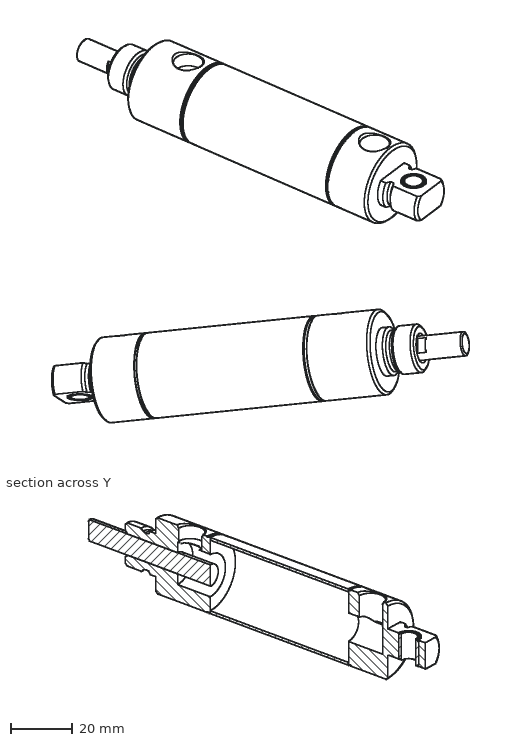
import cadquery as cq
import math


FLAT_START = 12.7
NOSE_START = 15.6
FRONT_HEAD_START = 28.5
FRONT_JOINT = 51.7
REAR_JOINT = 110.3
REAR_HEAD_END = 127.0
TANG_END = 142.9

BODY_DIAMETER = 28.1
BODY_RADIUS = BODY_DIAMETER / 2
TUBE_BORE_RADIUS = 12.9
HEAD_CHAMFER = 0.9
JOINT_GROOVE_DEPTH = 0.5
FRONT_GROOVE_START = 50.5
FRONT_GROOVE_END = 51.3
REAR_GROOVE_LENGTH = 0.9

ROD_RADIUS = 4.0
ROD_TIP_LENGTH = 0.5
ROD_TIP_RADIUS = 3.3
ROD_ACROSS_FLATS = 6.3

NOSE_RADIUS = 8.0
RELIEF_RADIUS = 6.9
NOSE_CHAMFER = 0.9
NOSE_RELIEF_START = 22.5
NOSE_RELIEF_SLOPE_END = 23.3
NOSE_RELIEF_SLOPE_END_RADIUS = 7.1
NOSE_RELIEF_FLOOR_START = 24.1
NOSE_RELIEF_FLOOR_END = 25.5
NOSE_RELIEF_END = 26.1
COUNTERSINK_RADIUS = 4.9

FRONT_PORT_X = 43.1
REAR_PORT_X = 119.7
PORT_RADIUS = 4.9
PORT_MOUTH_RADIUS = 5.5
PORT_MOUTH_DEPTH = 1.0
DRILL_HALF_ANGLE = math.radians(59)
FRONT_PORT_TIP_Z = 5.5

FRONT_CHAMBER_START = 37.9
FRONT_CHAMBER_RADIUS = 7.7
REAR_CHAMBER_END = REAR_PORT_X + PORT_RADIUS
REAR_CHAMBER_RADIUS = 5.1

TANG_THICKNESS = 9.7
TANG_END_CHAMFER = 0.9
TANG_RELIEF_START = 129.2
TANG_RELIEF_FLOOR_START = 130.0
TANG_RELIEF_FLOOR_END = 131.3
TANG_RELIEF_END = 132.2
EYE_X = 135.7
BUSHING_RADIUS = 4.1
BUSHING_BORE_RADIUS = 3.0
BUSHING_CHAMFER = 0.6


def revolved(outline):
    """Solid of revolution about X from an outline of (x, radius) points."""
    return cq.Workplane("XZ").polyline(outline).close().revolve(360, (0, 0, 0), (1, 0, 0))


def round_bar(start, end, radius):
    """Plain cylinder along X."""
    return cq.Workplane("YZ", origin=(start, 0, 0)).circle(radius).extrude(end - start)


def port_cutter(tip_z):
    """Round port from above with a countersunk mouth and a drill-point bottom, its tip at tip_z."""
    shoulder_z = tip_z + PORT_RADIUS / math.tan(DRILL_HALF_ANGLE)
    outline = [
        (0, tip_z),
        (PORT_RADIUS, shoulder_z),
        (PORT_RADIUS, BODY_RADIUS - PORT_MOUTH_DEPTH),
        (PORT_MOUTH_RADIUS, BODY_RADIUS),
        (0, BODY_RADIUS),
    ]
    return cq.Workplane("XZ").polyline(outline).close().revolve(360, (0, 0, 0), (0, 1, 0))


def make_rod():
    rod = revolved([
        (0, 0),
        (0, ROD_TIP_RADIUS),
        (ROD_TIP_LENGTH, ROD_RADIUS),
        (FRONT_JOINT, ROD_RADIUS),
        (FRONT_JOINT, 0),
    ])
    flat_length = NOSE_START - FLAT_START
    for side in (1, -1):
        flat = cq.Workplane("XY").box(flat_length, ROD_RADIUS, 2 * ROD_RADIUS)
        flat_y = side * (ROD_ACROSS_FLATS + ROD_RADIUS) / 2
        rod = rod.cut(flat.translate((FLAT_START + flat_length / 2, flat_y, 0)))
    return rod


def make_front_head():
    head = revolved([
        (NOSE_START, 0),
        (NOSE_START, NOSE_RADIUS - NOSE_CHAMFER),
        (NOSE_START + NOSE_CHAMFER, NOSE_RADIUS),
        (NOSE_RELIEF_START, NOSE_RADIUS),
        (NOSE_RELIEF_SLOPE_END, NOSE_RELIEF_SLOPE_END_RADIUS),
        (NOSE_RELIEF_FLOOR_START, RELIEF_RADIUS),
        (NOSE_RELIEF_FLOOR_END, RELIEF_RADIUS),
        (NOSE_RELIEF_END, NOSE_RADIUS),
        (FRONT_HEAD_START, NOSE_RADIUS),
        (FRONT_HEAD_START, BODY_RADIUS - HEAD_CHAMFER),
        (FRONT_HEAD_START + HEAD_CHAMFER, BODY_RADIUS),
        (FRONT_GROOVE_START, BODY_RADIUS),
        (FRONT_GROOVE_START, BODY_RADIUS - JOINT_GROOVE_DEPTH),
        (FRONT_GROOVE_END, BODY_RADIUS),
        (FRONT_JOINT, BODY_RADIUS),
        (FRONT_JOINT, 0),
    ])
    rod_bore = revolved([
        (NOSE_START, 0),
        (NOSE_START, COUNTERSINK_RADIUS),
        (NOSE_START + COUNTERSINK_RADIUS - ROD_RADIUS, ROD_RADIUS),
        (FRONT_JOINT, ROD_RADIUS),
        (FRONT_JOINT, 0),
    ])
    chamber = round_bar(FRONT_CHAMBER_START, FRONT_JOINT, FRONT_CHAMBER_RADIUS)
    port = port_cutter(FRONT_PORT_TIP_Z).translate((FRONT_PORT_X, 0, 0))
    return head.cut(rod_bore).cut(chamber).cut(port)


def make_tube():
    return revolved([
        (FRONT_JOINT, TUBE_BORE_RADIUS),
        (FRONT_JOINT, BODY_RADIUS),
        (REAR_JOINT, BODY_RADIUS),
        (REAR_JOINT, TUBE_BORE_RADIUS),
    ])


def eye_cylinder(radius):
    """Vertical cylinder on the eye axis, as tall as the tang is thick."""
    base_z = -TANG_THICKNESS / 2
    return cq.Workplane("XY", origin=(EYE_X, 0, base_z)).circle(radius).extrude(TANG_THICKNESS)


def make_tang():
    """Round stub with a relief groove, chamfered at its end and milled flat above and below."""
    stub = revolved([
        (REAR_HEAD_END, 0),
        (REAR_HEAD_END, NOSE_RADIUS),
        (TANG_RELIEF_START, NOSE_RADIUS),
        (TANG_RELIEF_FLOOR_START, RELIEF_RADIUS),
        (TANG_RELIEF_FLOOR_END, RELIEF_RADIUS),
        (TANG_RELIEF_END, NOSE_RADIUS),
        (TANG_END - TANG_END_CHAMFER, NOSE_RADIUS),
        (TANG_END, NOSE_RADIUS - TANG_END_CHAMFER),
        (TANG_END, 0),
    ])
    length = TANG_END - REAR_HEAD_END
    plate = cq.Workplane("XY").box(length, 2 * NOSE_RADIUS, TANG_THICKNESS)
    return stub.intersect(plate.translate((REAR_HEAD_END + length / 2, 0, 0)))


def make_rear_head():
    head = revolved([
        (REAR_JOINT, 0),
        (REAR_JOINT, BODY_RADIUS - JOINT_GROOVE_DEPTH),
        (REAR_JOINT + REAR_GROOVE_LENGTH, BODY_RADIUS - JOINT_GROOVE_DEPTH),
        (REAR_JOINT + REAR_GROOVE_LENGTH, BODY_RADIUS),
        (REAR_HEAD_END - HEAD_CHAMFER, BODY_RADIUS),
        (REAR_HEAD_END, BODY_RADIUS - HEAD_CHAMFER),
        (REAR_HEAD_END, 0),
    ])
    chamber = round_bar(REAR_JOINT, REAR_CHAMBER_END, REAR_CHAMBER_RADIUS)
    port = port_cutter(0).translate((REAR_PORT_X, 0, 0))
    eye = eye_cylinder(BUSHING_RADIUS)
    return head.union(make_tang()).cut(chamber).cut(port).cut(eye)


def make_bushing():
    """Sleeve pressed into the tang eye, flush with both flats, its outer rims chamfered."""
    sleeve = eye_cylinder(BUSHING_RADIUS).faces("|Z").chamfer(BUSHING_CHAMFER)
    return sleeve.cut(eye_cylinder(BUSHING_BORE_RADIUS))


rod = make_rod()
front_head = make_front_head()
tube = make_tube()
rear_head = make_rear_head()
bushing = make_bushing()

result = cq.Compound.makeCompound([
    rod.val(),
    front_head.val(),
    tube.val(),
    rear_head.val(),
    bushing.val(),
])